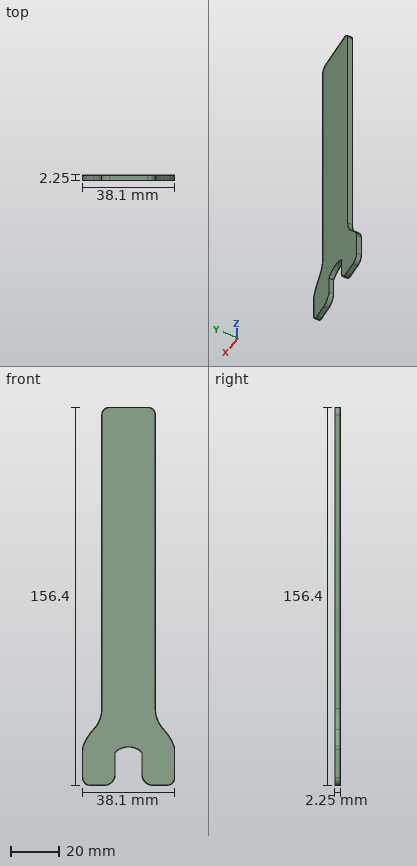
import cadquery as cq
import math

thickness = 2.25
overall_length = 156.36
head_width = 38.1
shank_width = 22.2
shank_corner_radius = 3.175

head_center_z = 9.29
head_radius = 20.06
neck_radius = 12.7
shoulder_radius = 4.48
jaw_outer_radius = 3.175
jaw_inner_radius = 4.57

slot_width = 11.05
slot_center_z = 7.9
slot_bottom_radius = 7.98


def polar(center, radius, degrees):
    """Point on a circle, with the angle measured from +X towards +Z."""
    angle = math.radians(degrees)
    return (center[0] + radius * math.cos(angle), center[1] + radius * math.sin(angle))


def arc_points(center, radius, start, end):
    """Middle and end points of an arc between two angles in degrees."""
    return polar(center, radius, (start + end) / 2), polar(center, radius, end)


def half_profile():
    """Right half of the outline, from the top center round to the crown of the jaw opening."""
    half_shank = shank_width / 2
    half_head = head_width / 2
    half_slot = slot_width / 2

    corner_center = (half_shank - shank_corner_radius, overall_length - shank_corner_radius)

    head_center = (0, head_center_z)
    neck_x = half_shank + neck_radius
    neck_rise = math.sqrt((head_radius + neck_radius) ** 2 - neck_x**2)
    neck_center = (neck_x, head_center_z + neck_rise)
    neck_angle = math.degrees(math.atan2(neck_rise, neck_x))

    shoulder_x = half_head - shoulder_radius
    shoulder_rise = math.sqrt((head_radius - shoulder_radius) ** 2 - shoulder_x**2)
    shoulder_center = (shoulder_x, head_center_z + shoulder_rise)
    shoulder_angle = math.degrees(math.atan2(shoulder_rise, shoulder_x))

    outer_center = (half_head - jaw_outer_radius, jaw_outer_radius)
    inner_center = (half_slot + jaw_inner_radius, jaw_inner_radius)

    slot_center = (0, slot_center_z)
    slot_angle = math.degrees(math.acos(half_slot / slot_bottom_radius))

    return (
        cq.Workplane("XZ")
        .moveTo(0, overall_length)
        .lineTo(corner_center[0], overall_length)
        .threePointArc(*arc_points(corner_center, shank_corner_radius, 90, 0))
        .lineTo(half_shank, neck_center[1])
        .threePointArc(*arc_points(neck_center, neck_radius, 180, 180 + neck_angle))
        .threePointArc(*arc_points(head_center, head_radius, neck_angle, shoulder_angle))
        .threePointArc(*arc_points(shoulder_center, shoulder_radius, shoulder_angle, 0))
        .lineTo(half_head, jaw_outer_radius)
        .threePointArc(*arc_points(outer_center, jaw_outer_radius, 0, -90))
        .lineTo(inner_center[0], 0)
        .threePointArc(*arc_points(inner_center, jaw_inner_radius, 270, 180))
        .lineTo(*polar(slot_center, slot_bottom_radius, slot_angle))
        .threePointArc(*arc_points(slot_center, slot_bottom_radius, slot_angle, 90))
        .close()
    )


def make_wrench():
    """Extrude half of the plate about Y = 0 and mirror it across the YZ plane."""
    half = half_profile().extrude(thickness / 2, both=True)
    return half.union(half.mirror("YZ")).clean()


result = make_wrench()